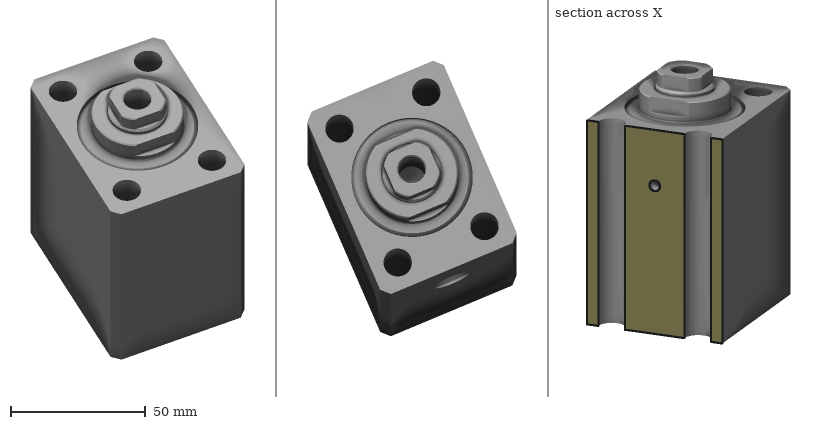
import cadquery as cq
import math

housing_x = 75.0
housing_y = 55.0
housing_top = 80.0
corner_chamfer = 3.0
bolt_hole_d = 10.5
bolt_spacing_x = 55.0
bolt_spacing_y = 35.0

port_drop = 21.9
port_z = housing_top - port_drop
spotface_d = 14.0
spotface_depth = 4.0
oil_hole_d = 4.0

flange_d = 45.0
flange_chamfer = 1.5
flange_recess = 0.5
flange_top = housing_top - flange_recess
gland_length = 30.0
gland_bottom = housing_top - gland_length
boss_d = 34.0
boss_top = housing_top + 7.8
boss_edge_chamfer = 0.5
boss_root_chamfer = 0.5
boss_flats_across = 29.8
boss_flats_bottom = housing_top + 1.9
bore_chamfer = 0.5

rod_d = 22.0
rod_top = 95.0
shoulder_z = housing_top + 9.5
shoulder_chamfer = 0.8
head_d = 21.0
head_flats_across = 18.05
head_chamfer = 0.5
tap_hole_d = 10.2
tap_hole_chamfer = 0.5
countersink_angle = 90.0
tap_hole_depth = 19.95
drill_point_angle = 118.0


def cylinder(diameter, bottom, top):
    """Upright cylinder on the Z axis between two heights."""
    return cq.Workplane("XY").workplane(offset=bottom).circle(diameter / 2).extrude(top - bottom)


def side_hole(diameter, depth):
    """Cutter for a hole at the port height, drilled along +X from the -X face."""
    plane = cq.Plane(origin=(-housing_x / 2, 0, port_z), xDir=(0, 1, 0), normal=(1, 0, 0))
    return cq.Workplane(plane).circle(diameter / 2).extrude(depth)


def make_housing():
    """Block with chamfered corners, four bolt holes, the gland seat and the oil port."""
    block = (
        cq.Workplane("XY")
        .rect(housing_x, housing_y)
        .extrude(housing_top)
        .edges("|Z")
        .chamfer(corner_chamfer)
    )
    bolt_holes = (
        cq.Workplane("XY")
        .rect(bolt_spacing_x, bolt_spacing_y, forConstruction=True)
        .vertices()
        .circle(bolt_hole_d / 2)
        .extrude(housing_top)
    )
    gland_seat = cylinder(flange_d, gland_bottom, housing_top)
    spotface = side_hole(spotface_d, spotface_depth)
    oil_hole = side_hole(oil_hole_d, housing_x / 2)
    return block.cut(bolt_holes).cut(gland_seat).cut(spotface).cut(oil_hole)


def make_gland():
    """Revolved bush around the rod, with two wrench flats facing -X and +X."""
    flange_r = flange_d / 2
    boss_r = boss_d / 2
    rod_r = rod_d / 2
    body = (
        cq.Workplane("XZ")
        .moveTo(rod_r, gland_bottom)
        .lineTo(flange_r, gland_bottom)
        .lineTo(flange_r, flange_top - flange_chamfer)
        .lineTo(flange_r - flange_chamfer, flange_top)
        .lineTo(boss_r + boss_root_chamfer, flange_top)
        .lineTo(boss_r, flange_top + boss_root_chamfer)
        .lineTo(boss_r, boss_top - boss_edge_chamfer)
        .lineTo(boss_r - boss_edge_chamfer, boss_top)
        .lineTo(rod_r + bore_chamfer, boss_top)
        .lineTo(rod_r, boss_top - bore_chamfer)
        .close()
        .revolve(360, (0, 0), (0, 1))
    )
    flat_height = boss_top - boss_flats_bottom
    flat_zone = cylinder(flange_d, boss_flats_bottom, boss_top)
    kept = (
        cq.Workplane("XY")
        .workplane(offset=boss_flats_bottom)
        .rect(boss_flats_across, flange_d)
        .extrude(flat_height)
    )
    return body.cut(flat_zone.cut(kept))


def drill_point():
    """Conical bottom of the tapping hole."""
    point_r = tap_hole_d / 2
    point_height = point_r / math.tan(math.radians(drill_point_angle / 2))
    floor_z = rod_top - tap_hole_depth
    return (
        cq.Workplane("XZ")
        .moveTo(0, floor_z)
        .lineTo(point_r, floor_z)
        .lineTo(0, floor_z - point_height)
        .close()
        .revolve(360, (0, 0), (0, 1))
    )


def make_rod():
    """Round rod ending in a chamfered shoulder and a four-flat head."""
    shank = cylinder(rod_d, gland_bottom, shoulder_z).faces(">Z").chamfer(shoulder_chamfer)
    square = (
        cq.Workplane("XY")
        .workplane(offset=shoulder_z)
        .rect(head_flats_across, head_flats_across)
        .extrude(rod_top - shoulder_z)
    )
    head = cylinder(head_d, shoulder_z, rod_top).faces(">Z").chamfer(head_chamfer).intersect(square)
    return (
        shank.union(head)
        .faces(">Z")
        .workplane(origin=(0, 0, rod_top))
        .cskHole(tap_hole_d, tap_hole_d + 2 * tap_hole_chamfer, countersink_angle, tap_hole_depth)
        .cut(drill_point())
    )


housing = make_housing()
gland = make_gland()
rod = make_rod()

result = cq.Compound.makeCompound([housing.val(), gland.val(), rod.val()])